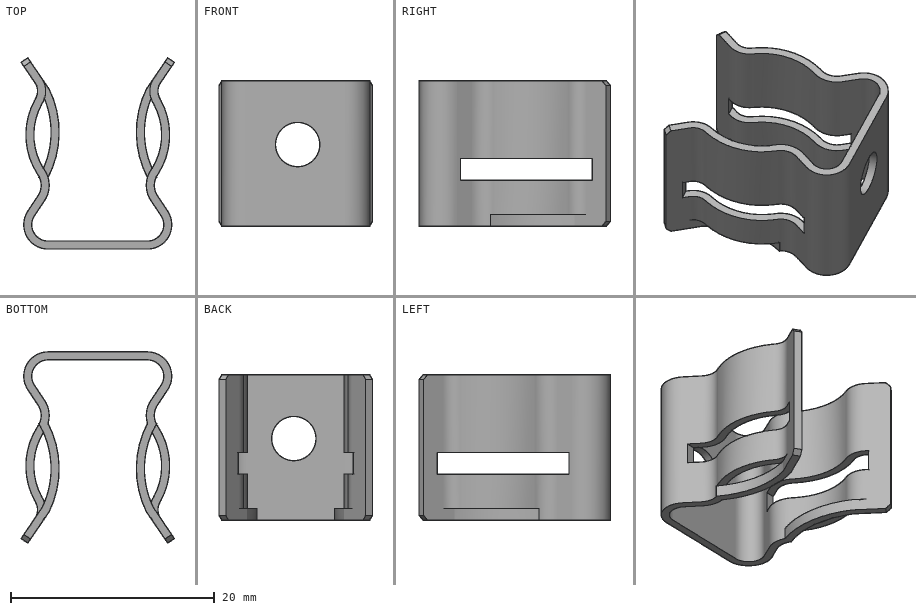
import cadquery as cq
import math

height = 14.3
depth = 18.8
thickness = 0.8

corner_radius = 2.4
base_half_flat = 4.87
neck_radius = 1.85
neck_edge_x = -5.56
grip_radius = 7.07
grip_center_y = 11.22
lip_radius = 1.5
lip_edge_x = -5.92
lip_angle = math.radians(34.3)
grip_flat = 0.25
lip_chamfer = 0.49

hole_diameter = 4.32
hole_x = 0.19
hole_z = 8.03

slot_start_y, slot_end_y = 4.08, 17.0
slot_bottom_z, slot_top_z = 4.53, 6.65

strip_height = 1.17
strip_start_y = 7.03
strip_radius = 8.8
strip_crest_x = -4.59
strip_center = (strip_crest_x - strip_radius, 11.49)


def polar(center, radius, angle):
    return (center[0] + radius * math.cos(angle), center[1] + radius * math.sin(angle))


corner_center = (-base_half_flat, corner_radius)
grip_center = (0, grip_center_y)
neck_x = neck_edge_x - neck_radius
neck_reach = math.hypot(grip_radius + neck_radius, grip_flat)
neck_center = (neck_x, grip_center_y - math.sqrt(neck_reach ** 2 - neck_x ** 2))
lip_x = lip_edge_x - lip_radius
lip_reach = math.hypot(grip_radius + lip_radius, grip_flat)
lip_center = (lip_x, grip_center_y + math.sqrt(lip_reach ** 2 - lip_x ** 2))

neck_dx = neck_center[0] - corner_center[0]
neck_dy = neck_center[1] - corner_center[1]
corner_to_neck = math.atan2(neck_dy, neck_dx) + math.acos(
    (corner_radius + neck_radius) / math.hypot(neck_dx, neck_dy)
)
neck_bearing = math.atan2(grip_center[1] - neck_center[1], grip_center[0] - neck_center[0])
neck_to_grip = neck_bearing - math.atan2(grip_flat, grip_radius + neck_radius)
lip_bearing = math.atan2(grip_center[1] - lip_center[1], grip_center[0] - lip_center[0])
grip_to_lip = lip_bearing + math.atan2(grip_flat, grip_radius + lip_radius)

bends = [
    (corner_center, corner_radius, -1, 1.5 * math.pi, corner_to_neck),
    (neck_center, neck_radius, 1, corner_to_neck - math.pi, neck_to_grip),
    (grip_center, grip_radius, -1, neck_to_grip + math.pi, grip_to_lip + math.pi),
    (lip_center, lip_radius, 1, grip_to_lip, lip_angle),
]

lip_outer_start = polar(lip_center, lip_radius, lip_angle)
lip_inner_start = polar(lip_center, lip_radius + thickness, lip_angle)
lip_length = (depth - lip_inner_start[1]) / math.cos(lip_angle)
lip_direction = lip_angle + math.pi / 2
lip_outer_end = polar(lip_outer_start, lip_length, lip_direction)
lip_inner_end = polar(lip_inner_start, lip_length, lip_direction)


def draw_bend(sketch, center, radius, start, end):
    """Add a straight to the start of a bend, then its arc."""
    return sketch.lineTo(*polar(center, radius, start)).threePointArc(
        polar(center, radius, (start + end) / 2), polar(center, radius, end)
    )


def bent_arm():
    """Left half of the clip at full height, from mid-base to lip."""
    sketch = cq.Workplane("XY").moveTo(0, 0)
    for center, radius, _, start, end in bends:
        sketch = draw_bend(sketch, center, radius, start, end)
    sketch = sketch.lineTo(*lip_outer_end).lineTo(*lip_inner_end)
    for center, radius, side, start, end in reversed(bends):
        sketch = draw_bend(sketch, center, radius + side * thickness, end, start)
    return sketch.lineTo(0, thickness).close().extrude(height)


def strip_angle(radius, y):
    """Direction from the bow centre to the point of the bow at the given Y."""
    return math.asin((y - strip_center[1]) / radius)


def kink_angle(radius, lip_point):
    """Direction from the bow centre to where the bow meets the lip plane through lip_point."""
    offset_x = lip_point[0] - strip_center[0]
    offset_y = lip_point[1] - strip_center[1]
    plane_offset = offset_x * math.cos(lip_angle) + offset_y * math.sin(lip_angle)
    return lip_angle - math.acos(plane_offset / radius)


def bowed_strip():
    """Lower edge strip, bowed inward between the neck and the straight lip."""
    inner_radius = strip_radius + thickness
    inner_kink = kink_angle(inner_radius, lip_inner_start)
    outer_start = strip_angle(strip_radius, strip_start_y)
    outer_kink = kink_angle(strip_radius, lip_outer_start)
    inner_start = strip_angle(inner_radius, strip_start_y)
    sketch = cq.Workplane("XY").moveTo(*lip_inner_start)
    sketch = draw_bend(sketch, strip_center, inner_radius, inner_kink, inner_start)
    sketch = draw_bend(sketch, strip_center, strip_radius, outer_start, outer_kink)
    sketch = sketch.lineTo(*lip_outer_start)
    return sketch.close().extrude(strip_height)


def y_z_box(start_y, end_y, bottom_z, top_z):
    """Box across the whole arm, left of the clip axis."""
    return cq.Workplane("XY").box(
        depth, end_y - start_y, top_z - bottom_z, centered=False
    ).translate((-depth, start_y, bottom_z))


def lip_corner_cut(z, inward):
    """Wedge that bevels one lip corner, straight through the strip thickness."""
    lip_plane = cq.Plane(
        origin=(*lip_outer_end, z),
        xDir=(math.cos(lip_direction), math.sin(lip_direction), 0),
        normal=(math.cos(lip_angle), math.sin(lip_angle), 0),
    )
    inward_leg = inward * lip_plane.yDir.z * lip_chamfer
    return (
        cq.Workplane(lip_plane)
        .polyline([(0, 0), (-lip_chamfer, 0), (0, inward_leg)])
        .close()
        .extrude(thickness)
    )


arm = bent_arm()
arm = arm.cut(y_z_box(strip_start_y, lip_outer_start[1], 0, strip_height))
arm = arm.union(bowed_strip())
arm = arm.cut(y_z_box(slot_start_y, slot_end_y, slot_bottom_z, slot_top_z))
arm = arm.cut(lip_corner_cut(0, 1)).cut(lip_corner_cut(height, -1))

clip = arm.union(arm.mirror("YZ"))

hole = (
    cq.Workplane("XZ", origin=(hole_x, 0, hole_z))
    .circle(hole_diameter / 2)
    .extrude(-thickness)
)
result = clip.cut(hole)